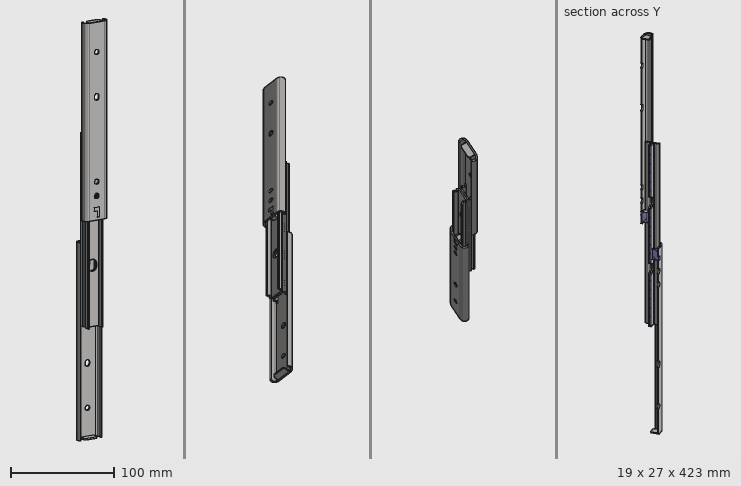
import cadquery as cq
import math

TOTAL_LENGTH = 423.0
TOTAL_WIDTH = 19.0
END_Z = TOTAL_LENGTH / 2

OUTER_LENGTH = 199.5
OUTER_SHEET = 1.78
OUTER_WEB_X = TOTAL_WIDTH / 2
WEB_INNER_X = OUTER_WEB_X - OUTER_SHEET
OUTER_INNER_END_Z = END_Z - OUTER_LENGTH
WEB_HALF_WIDTH = 8.5
WEB_INNER_HALF_WIDTH = 9.5
LIP_TOP_Y = 13.5
LIP_CENTER_X = 4.5
LIP_RADIUS = 4.5
LIP_RIM_ANGLE = math.radians(50)
LIP_SHOULDER_ANGLE = math.radians(62)
LIP_CENTER_Y = LIP_TOP_Y - LIP_RADIUS

INNER_LENGTH = 194.5
INNER_SHEET = 1.5
INNER_PAIR_WIDTH = 15.0
LEG_END_X = INNER_PAIR_WIDTH / 2
LEG_OUTER_Y = 8.5
BEND_START_Y = 6.5
GROOVE_CENTER_X = LIP_CENTER_X
GROOVE_RADIUS = 1.3

SCREW_HOLE_DIAMETER = 5.0
ROUND_HOLE_PLACES = (50.8, 181.5)
SCREW_SLOTS = ((36.5, 5.5), (136.2, 6.8))
ACCESS_SLOT_Z = 35.5
ACCESS_SLOT_WIDTH = 9.7
ACCESS_SLOT_LENGTH = 12.0

PLATE_THICKNESS = 1.5
PLATE_FREE_X = 1.0
PLATE_HALF_WIDTH = 7.5
PLATE_CHAMFER = 1.5

STOP_NEAR_Z = 13.5
STOP_FAR_Z = 25.0
STOP_FREE_X = 2.5
STOP_HALF_WIDTH = 4.5
STOP_CHAMFER = 2.0
KEY_NEAR_Z = 15.0
KEY_HALF_WIDTH = 3.0
KEY_STEM_WIDTH = 2.5
KEY_FOOT_Z = 21.0


def lip_point(radius, angle):
    """Point on a lip circle, with the angle measured from +Y towards +X."""
    return LIP_CENTER_X + radius * math.sin(angle), LIP_CENTER_Y + radius * math.cos(angle)


def outer_section(bottom_z, length):
    """Outer rail blank: half the channel section, completed by its mirror image."""
    inner_radius = LIP_RADIUS - OUTER_SHEET
    half = (
        cq.Workplane("XY", origin=(0, 0, bottom_z))
        .moveTo(OUTER_WEB_X, 0)
        .lineTo(OUTER_WEB_X, WEB_HALF_WIDTH)
        .lineTo(*lip_point(LIP_RADIUS, LIP_SHOULDER_ANGLE))
        .threePointArc(lip_point(LIP_RADIUS, 0), lip_point(LIP_RADIUS, -LIP_RIM_ANGLE))
        .lineTo(*lip_point(inner_radius, -LIP_RIM_ANGLE))
        .threePointArc(lip_point(inner_radius, 0), lip_point(inner_radius, LIP_RIM_ANGLE))
        .lineTo(WEB_INNER_X, WEB_INNER_HALF_WIDTH)
        .lineTo(WEB_INNER_X, 0)
        .close()
        .extrude(length)
    )
    return half.union(half.mirror("XZ"))


def inner_section(bottom_z, length):
    """Inner rail blank: half the channel section, completed by its mirror image."""
    groove_near_x = GROOVE_CENTER_X - GROOVE_RADIUS
    groove_far_x = GROOVE_CENTER_X + GROOVE_RADIUS
    bend_rise = LEG_OUTER_Y - BEND_START_Y
    bend_radius = (groove_near_x**2 + bend_rise**2) / (2 * bend_rise)
    leg_inner_y = LEG_OUTER_Y - INNER_SHEET
    bulge_radius = GROOVE_RADIUS + INNER_SHEET
    bulge_half = math.sqrt(bulge_radius**2 - INNER_SHEET**2)
    half = (
        cq.Workplane("XY", origin=(0, 0, bottom_z))
        .lineTo(0, BEND_START_Y)
        .radiusArc((groove_near_x, LEG_OUTER_Y), bend_radius)
        .threePointArc(
            (GROOVE_CENTER_X, LEG_OUTER_Y - GROOVE_RADIUS),
            (groove_far_x, LEG_OUTER_Y),
        )
        .lineTo(LEG_END_X, LEG_OUTER_Y)
        .lineTo(LEG_END_X, leg_inner_y)
        .lineTo(GROOVE_CENTER_X + bulge_half, leg_inner_y)
        .threePointArc(
            (GROOVE_CENTER_X, LEG_OUTER_Y - bulge_radius),
            (GROOVE_CENTER_X - bulge_half, leg_inner_y),
        )
        .lineTo(INNER_SHEET, leg_inner_y)
        .lineTo(INNER_SHEET, 0)
        .close()
        .extrude(length)
    )
    return half.union(half.mirror("XZ"))


def upright_slot(z, width, length):
    """Cutter along X for a slot with round ends, tall in Z."""
    return cq.Workplane("YZ", origin=(0, 0, z)).slot2D(length, width, 90).extrude(OUTER_WEB_X)


def stop_key():
    """L-shaped key of the stop block, which fills a matching opening in the outer web."""
    return (
        cq.Workplane("YZ", origin=(WEB_INNER_X, 0, 0))
        .moveTo(KEY_HALF_WIDTH, KEY_NEAR_Z)
        .lineTo(KEY_HALF_WIDTH, STOP_FAR_Z)
        .lineTo(-KEY_HALF_WIDTH, STOP_FAR_Z)
        .lineTo(-KEY_HALF_WIDTH, KEY_FOOT_Z)
        .lineTo(KEY_HALF_WIDTH - KEY_STEM_WIDTH, KEY_FOOT_Z)
        .lineTo(KEY_HALF_WIDTH - KEY_STEM_WIDTH, KEY_NEAR_Z)
        .close()
        .extrude(OUTER_SHEET)
    )


def make_outer_rail():
    rail = outer_section(OUTER_INNER_END_Z, OUTER_LENGTH)
    for z in ROUND_HOLE_PLACES:
        hole = cq.Workplane("YZ", origin=(0, 0, z)).circle(SCREW_HOLE_DIAMETER / 2).extrude(OUTER_WEB_X)
        rail = rail.cut(hole)
    for z, length in SCREW_SLOTS:
        rail = rail.cut(upright_slot(z, SCREW_HOLE_DIAMETER, length))
    return rail.cut(stop_key())


def make_inner_rail():
    rail = inner_section(-INNER_LENGTH / 2, INNER_LENGTH)
    for z in (-ACCESS_SLOT_Z, ACCESS_SLOT_Z):
        rail = rail.cut(upright_slot(z, ACCESS_SLOT_WIDTH, ACCESS_SLOT_LENGTH))
    return rail


def make_stop_block():
    block = (
        cq.Workplane("XY", origin=((STOP_FREE_X + WEB_INNER_X) / 2, 0, STOP_NEAR_Z))
        .rect(WEB_INNER_X - STOP_FREE_X, 2 * STOP_HALF_WIDTH)
        .extrude(STOP_FAR_Z - STOP_NEAR_Z)
        .faces("<Z")
        .edges("|X")
        .chamfer(STOP_CHAMFER)
    )
    return block.union(stop_key())


def make_end_plate():
    return (
        cq.Workplane("XY", origin=((PLATE_FREE_X + WEB_INNER_X) / 2, 0, END_Z - PLATE_THICKNESS))
        .rect(WEB_INNER_X - PLATE_FREE_X, 2 * PLATE_HALF_WIDTH)
        .extrude(PLATE_THICKNESS)
        .edges("|Z and <X")
        .chamfer(PLATE_CHAMFER)
    )


solids = []
for make_body in (make_outer_rail, make_inner_rail, make_end_plate, make_stop_block):
    body = make_body()
    for turn in (0, 180):
        solids.append(body.rotate((0, 0, 0), (0, 1, 0), turn).val())

result = cq.Compound.makeCompound(solids)